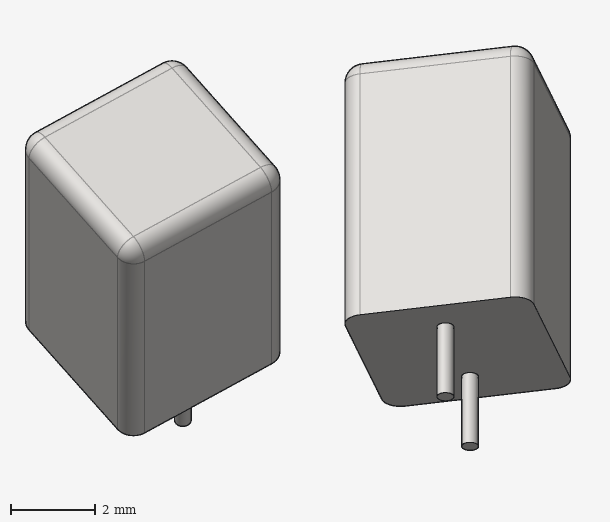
import cadquery as cq

total_height = 8.9
body_width = 4.6
edge_radius = 0.46
pin_length = 1.9
pin_diameter = 0.4
pin_pitch = 2.5

body_height = total_height - pin_length


def make_body():
    """Square block, rounded on every edge except around its flat base."""
    block = cq.Workplane("XY").box(body_width, body_width, body_height, centered=(True, True, False))
    return block.edges("|Z or >Z").fillet(edge_radius)


def make_pins():
    """Two round leads hanging from the base, spaced along X."""
    return (
        cq.Workplane("XY")
        .pushPoints([(-pin_pitch / 2, 0), (pin_pitch / 2, 0)])
        .circle(pin_diameter / 2)
        .extrude(-pin_length)
    )


result = make_body().union(make_pins())